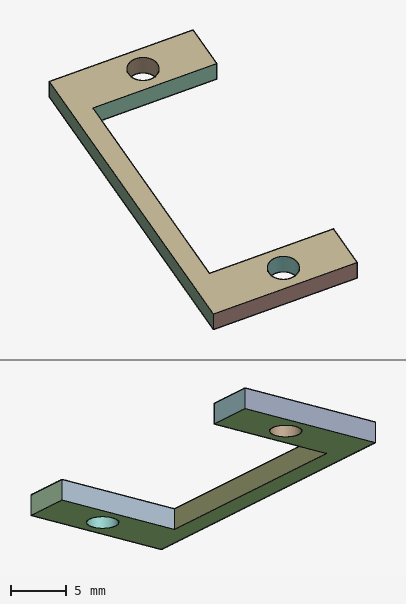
import cadquery as cq

length = 32.9
depth = 14.5
thickness = 2.0
leg_width = 4.77
rail_width = 2.0
hole_diameter = 2.9

opening_width = length - 2 * leg_width
leg_length = depth - rail_width

hole_x = (length - leg_width) / 2
hole_y = rail_width + leg_length / 2


def make_bracket():
    """Flat U: a rail along X at Y = 0 with a leg toward +Y at each end."""
    plate = cq.Workplane("XY").box(length, depth, thickness, centered=(True, False, False))
    opening = (
        cq.Workplane("XY")
        .box(opening_width, leg_length, thickness, centered=(True, False, False))
        .translate((0, rail_width, 0))
    )
    return plate.cut(opening)


def make_leg_holes():
    """Cylinders for the through hole in each leg."""
    return (
        cq.Workplane("XY")
        .pushPoints([(-hole_x, hole_y), (hole_x, hole_y)])
        .circle(hole_diameter / 2)
        .extrude(thickness)
    )


result = make_bracket().cut(make_leg_holes())